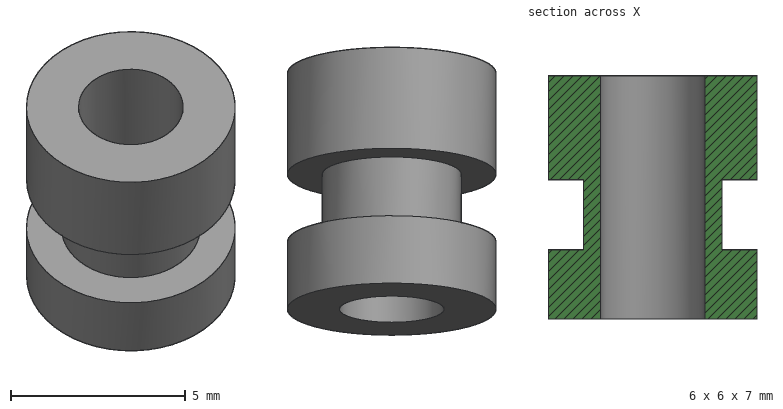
import cadquery as cq

total_height = 7.0
flange_diameter = 6.0
neck_diameter = 4.0
bore_diameter = 3.0
lower_flange_height = total_height * 2 / 7
neck_height = lower_flange_height
upper_flange_height = total_height - lower_flange_height - neck_height

spool = (
    cq.Workplane("XY")
    .circle(flange_diameter / 2)
    .extrude(lower_flange_height)
    .faces(">Z")
    .workplane()
    .circle(neck_diameter / 2)
    .extrude(neck_height)
    .faces(">Z")
    .workplane()
    .circle(flange_diameter / 2)
    .extrude(upper_flange_height)
)

bore = cq.Workplane("XY").circle(bore_diameter / 2).extrude(total_height)

result = spool.cut(bore)